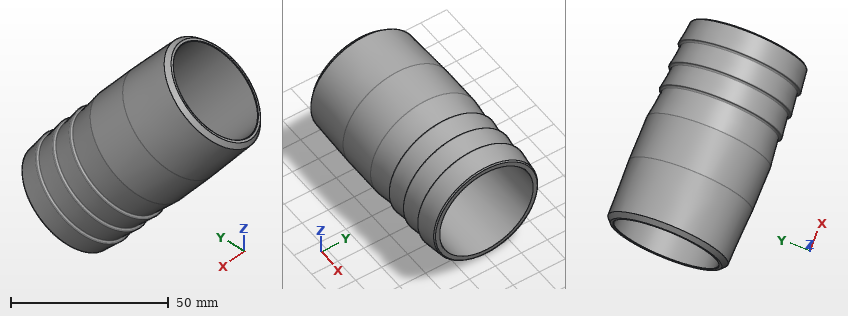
import cadquery as cq

length = 70.0
collar_diameter = 42.4
collar_radius = collar_diameter / 2
bore_diameter = 36.0
bore_radius = bore_diameter / 2
bore_chamfer = 0.2

pipe_taper = 1 / 16
pipe_tip_radius = 19.1
pipe_chamfer_length = 1.6
collar_start = 20.6
pipe_small_radius = collar_radius - (collar_start - pipe_chamfer_length) * pipe_taper / 2

collar_end = 36.0
barb_count = 3
barb_pitch = 8.0
barb_start = length - barb_count * barb_pitch
crest_diameter = 42.0
crest_radius = crest_diameter / 2
root_diameter = 40.05
root_radius = root_diameter / 2
root_fillet = 0.55
crest_round = 0.1
end_chamfer = 0.4


def add_barb(profile, crest_x, is_last):
    """Rise through a rounded root to a slightly rounded crest, then slope down to the next root."""
    profile = (
        profile
        .radiusArc((crest_x, root_radius + root_fillet), -root_fillet)
        .lineTo(crest_x, crest_radius - crest_round)
        .radiusArc((crest_x + crest_round, crest_radius), crest_round)
    )
    tail = end_chamfer if is_last else root_fillet
    return profile.lineTo(crest_x + barb_pitch - tail, root_radius)


def make_outer_body():
    """Solid of revolution with the taper, the collar, the barbs and the chamfered ends."""
    profile = (
        cq.Workplane("XY")
        .moveTo(0, 0)
        .lineTo(0, pipe_tip_radius)
        .lineTo(pipe_chamfer_length, pipe_small_radius)
        .lineTo(collar_start, collar_radius)
        .lineTo(collar_end, collar_radius)
        .lineTo(barb_start - root_fillet, root_radius)
    )
    for index in range(barb_count):
        crest_x = barb_start + index * barb_pitch
        profile = add_barb(profile, crest_x, index == barb_count - 1)
    profile = profile.lineTo(length, root_radius - end_chamfer).lineTo(length, 0).close()
    return profile.revolve(360, (0, 0, 0), (1, 0, 0))


def make_bore():
    """Through bore with a small chamfer at the pipe end."""
    profile = (
        cq.Workplane("XY")
        .moveTo(0, 0)
        .lineTo(0, bore_radius + bore_chamfer)
        .lineTo(bore_chamfer, bore_radius)
        .lineTo(length, bore_radius)
        .lineTo(length, 0)
        .close()
    )
    return profile.revolve(360, (0, 0, 0), (1, 0, 0))


result = make_outer_body().cut(make_bore())